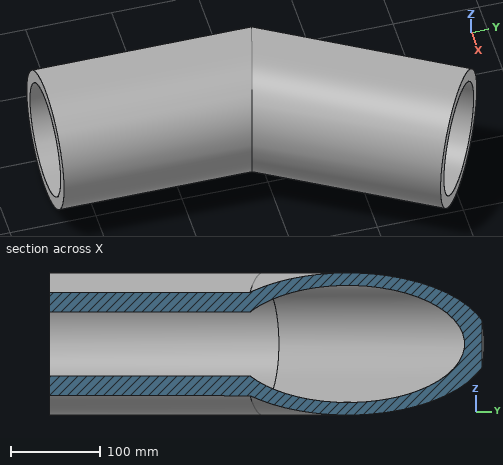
import cadquery as cq
import math

overall_length = 488.0
outer_diameter = 160.0
bore_diameter = 130.5
bend_angle = math.radians(30.0)

end_face_rise = outer_diameter / 2 * math.sin(bend_angle)
leg_length = (overall_length - end_face_rise) / (1 + math.cos(bend_angle))

half_bend = bend_angle / 2

bend_point = cq.Vector(0, leg_length, 0)
mitre_normal = cq.Vector(math.sin(half_bend), math.cos(half_bend), 0)
mitre_plane = cq.Plane(origin=bend_point, xDir=(0, 0, 1), normal=mitre_normal)

uncut_length = leg_length + outer_diameter
straight_pipe = (
    cq.Workplane("XZ")
    .circle(outer_diameter / 2)
    .circle(bore_diameter / 2)
    .extrude(-uncut_length)
)

trim_width = 2 * uncut_length
trim_block = cq.Workplane(mitre_plane).rect(trim_width, trim_width).extrude(trim_width)
first_leg = straight_pipe.cut(trim_block)

second_leg = first_leg.mirror(mitre_normal, bend_point)

result = first_leg.union(second_leg)